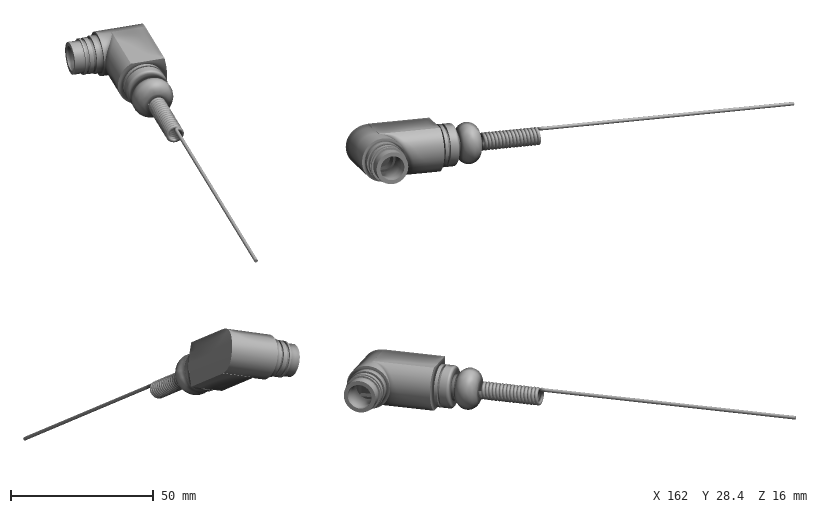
import cadquery as cq
import math


overall_length = 162.0

barrel_radius = 8.0
half_height = 8.02
arm_radius = 9.0
arm_end = 22.5
back_edge = 8.1
shoulder_face = -9.4

plug_length = 10.0
shoulder_length = 2.3
shoulder_radius = 6.8
ring_length = 1.5
flange_length = 0.6
ring_radius = 6.5
groove_length = 1.0
sleeve_radius = 5.8
bore_radius = 4.4
key_radius = 3.5
key_depth = 3.2

housing_gap = 1.0
collar_radius = 7.6
collar_ring_length = 1.1
collar_groove_length = 0.8
collar_groove_radius = 6.6
flange_width = 3.4
collar_fillet = 1.0
neck_radius = 4.7
bead_center = 34.0
bead_round = 4.0
bead_core_radius = 3.4
neck_length = 1.0
waist_radius = 4.2

wire_radius = 0.63
coil_radius = 2.6
coil_pitch = 1.3
rise_per_radian = coil_pitch / (2 * math.pi)
coil_end = 60.3
coil_end_angle = 40.0
lead_start = 62.0
lead_end = overall_length - barrel_radius


def make_barrel():
    """Round barrel of the housing, from the plug shoulder to behind the bulged back."""
    return (
        cq.Workplane("XZ", origin=(0, shoulder_face, 0))
        .circle(barrel_radius)
        .extrude(shoulder_face - arm_radius)
    )


def make_barrel_envelope():
    """Block around the barrel with a gently bulged back."""
    return (
        cq.Workplane("YZ", origin=(-barrel_radius, 0, 0))
        .moveTo(shoulder_face, -half_height)
        .lineTo(back_edge, -half_height)
        .threePointArc((arm_radius, 0), (back_edge, half_height))
        .lineTo(shoulder_face, half_height)
        .close()
        .extrude(2 * barrel_radius)
    )


def make_arm():
    """Arm with flat top and bottom, a round front and the bulged back."""
    edge = math.sqrt(arm_radius**2 - half_height**2)
    return (
        cq.Workplane("YZ")
        .moveTo(-edge, -half_height)
        .lineTo(back_edge, -half_height)
        .threePointArc((arm_radius, 0), (back_edge, half_height))
        .lineTo(-edge, half_height)
        .threePointArc((-arm_radius, 0), (-edge, -half_height))
        .close()
        .extrude(arm_end)
    )


def make_plug():
    """Solid sleeve with a shoulder, a ring and a flange that leave two grooves."""
    plug = cq.Workplane("XZ", origin=(0, shoulder_face, 0)).circle(sleeve_radius).extrude(plug_length)
    ring_start = shoulder_length + groove_length
    flange_start = ring_start + ring_length + groove_length
    bands = [
        (0, shoulder_length, shoulder_radius),
        (ring_start, ring_length, ring_radius),
        (flange_start, flange_length, ring_radius),
    ]
    for start, length, radius in bands:
        band = cq.Workplane("XZ", origin=(0, shoulder_face - start, 0)).circle(radius).extrude(length)
        plug = plug.union(band)
    return plug


def make_socket():
    """Round bore as long as the plug, with a D-shaped recess in its floor."""
    bore = cq.Workplane("XZ", origin=(0, shoulder_face, 0)).circle(bore_radius).extrude(plug_length)
    recess = (
        cq.Workplane("XZ", origin=(0, shoulder_face, 0))
        .moveTo(-key_radius, -key_radius)
        .lineTo(0, -key_radius)
        .threePointArc((key_radius, 0), (0, key_radius))
        .lineTo(-key_radius, key_radius)
        .close()
        .extrude(-key_depth)
    )
    return bore.union(recess)


def make_housing():
    """Angled plug housing."""
    barrel = make_barrel().intersect(make_barrel_envelope())
    return barrel.union(make_arm()).union(make_plug()).cut(make_socket())


def make_grommet():
    """Collar, neck and bead, turned as one piece around X."""
    ring_start = arm_end + housing_gap
    groove_start = ring_start + collar_ring_length
    flange_start = groove_start + collar_groove_length
    flange_end = flange_start + flange_width
    neck_end = flange_end + neck_length
    corner = collar_fillet * (1 - math.sqrt(0.5))
    bead_start = bead_center - math.sqrt(bead_round**2 - (waist_radius - bead_core_radius) ** 2)
    bead_end = bead_center + bead_round
    return (
        cq.Workplane("XY")
        .moveTo(ring_start, 0)
        .lineTo(ring_start, collar_radius)
        .lineTo(groove_start, collar_radius)
        .lineTo(groove_start, collar_groove_radius)
        .lineTo(flange_start, collar_groove_radius)
        .lineTo(flange_start, collar_radius)
        .lineTo(flange_end - collar_fillet, collar_radius)
        .threePointArc(
            (flange_end - corner, collar_radius - corner),
            (flange_end, collar_radius - collar_fillet),
        )
        .lineTo(flange_end, neck_radius)
        .lineTo(neck_end, neck_radius)
        .lineTo(neck_end, waist_radius)
        .lineTo(bead_start, waist_radius)
        .threePointArc((bead_center, bead_core_radius + bead_round), (bead_end, bead_core_radius))
        .lineTo(bead_end, 0)
        .close()
        .revolve(360, (0, 0, 0), (1, 0, 0))
    )


def make_coil():
    """Right-handed coil along X whose first turn rests against the bead."""
    coil_start = bead_center + bead_round + wire_radius
    length = coil_end - coil_start
    path = cq.Wire.makeHelix(coil_pitch, length, coil_radius)
    section = cq.Plane(origin=(coil_radius, 0, 0), xDir=(1, 0, 0), normal=(0, coil_radius, rise_per_radian))
    coil = cq.Workplane(section).circle(wire_radius).sweep(cq.Workplane(path), isFrenet=True)
    coil = coil.rotate((0, 0, 0), (1, 1, 1), 120)
    turned = 360 * length / coil_pitch
    return coil.rotate((0, 0, 0), (1, 0, 0), coil_end_angle - turned).translate((coil_start, 0, 0))


def make_lead():
    """Bend that continues the coil, then a straight length of wire along X."""
    angle = math.radians(coil_end_angle)
    coil_tip = cq.Vector(coil_end, coil_radius * math.cos(angle), coil_radius * math.sin(angle))
    bend_end = cq.Vector(lead_start, 0, coil_radius)
    leaving = cq.Vector(rise_per_radian, -coil_tip.z, coil_tip.y)
    curve = cq.Edge.makeSpline([coil_tip, bend_end], tangents=[leaving, cq.Vector(1, 0, 0)])
    path = cq.Wire.assembleEdges([curve])
    bend = cq.Workplane(cq.Plane(origin=coil_tip, normal=leaving)).circle(wire_radius).sweep(path)
    straight_length = lead_end - lead_start
    straight = cq.Workplane("YZ", origin=bend_end.toTuple()).circle(wire_radius).extrude(straight_length)
    return bend.union(straight)


def make_cable():
    """Coil and lead as one wire."""
    return make_coil().union(make_lead())


housing = make_housing()
grommet = make_grommet()
cable = make_cable()

result = cq.Compound.makeCompound([body.solids().val() for body in (housing, grommet, cable)])